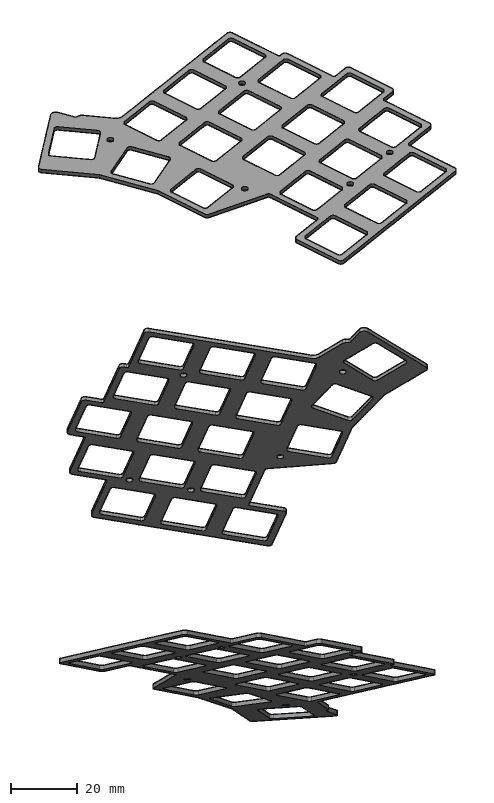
import cadquery as cq
import math

THICKNESS = 1.35

KEY_PITCH = 19.05
CUTOUT_SIZE = 14.0
CUTOUT_CORNER_RADIUS = 1.0
COLUMN_OFFSETS = [0.0, 2.5, 9.0, 3.0, -9.0]
ROWS = [-1, 0, 1]
LAST_COLUMN = len(COLUMN_OFFSETS) - 1

INNER_THUMB = (30.84, -35.62, 0.0)
MIDDLE_THUMB = (9.68, -38.38, 15.0)
OUTER_THUMB = (-12.46, -42.45, 30.0)

RIM = 2.025
LAST_COLUMN_RIM = 2.1
HALF_FRAME = CUTOUT_SIZE / 2 + RIM
OUTER_THUMB_HALF_LENGTH = HALF_FRAME + KEY_PITCH / 4
OUTLINE_CORNER_RADIUS = 1.15
INSIDE_CORNER_RADIUS = 0.5
THUMB_BEND_RADIUS = 1.3
SHOULDER_JOINT_RADIUS = 2.5
THUMB_CORNER_RADIUS = 1.63

SHOULDER_FOOT = (-19.75, -32.5)
SHOULDER_HEIGHT = 1.75
SHOULDER_ANGLE = 75.0

SCREW_HOLE_DIAMETER = 2.0
SCREW_HOLES = [(9.21, 11.11), (64.36, 12.70), (64.36, -6.39), (41.04, -27.74), (-5.06, -34.44)]


def key_center(column, row):
    return column * KEY_PITCH, COLUMN_OFFSETS[column] + row * KEY_PITCH


def column_left(column):
    return column * KEY_PITCH - HALF_FRAME


def column_right(column):
    return column * KEY_PITCH + HALF_FRAME


def column_top(column):
    return key_center(column, max(ROWS))[1] + HALF_FRAME


def column_bottom(column):
    return key_center(column, min(ROWS))[1] - HALF_FRAME


def direction(angle):
    return math.cos(math.radians(angle)), math.sin(math.radians(angle))


def step(point, angle, distance):
    """Point reached by moving a distance along an angle in degrees."""
    dx, dy = direction(angle)
    return point[0] + distance * dx, point[1] + distance * dy


def crossing(point_a, angle_a, point_b, angle_b):
    """Crossing of two lines, each given by a point and an angle in degrees."""
    ax, ay = direction(angle_a)
    bx, by = direction(angle_b)
    gap_x = point_b[0] - point_a[0]
    gap_y = point_b[1] - point_a[1]
    distance = (gap_x * by - gap_y * bx) / (ax * by - ay * bx)
    return step(point_a, angle_a, distance)


def outline_corners():
    """Corners of the plate, clockwise from the top left, each with its rounding radius."""
    inner_turn = INNER_THUMB[2]
    middle_turn = MIDDLE_THUMB[2]
    outer_turn = OUTER_THUMB[2]
    below_inner = step(INNER_THUMB, inner_turn - 90, HALF_FRAME)
    below_middle = step(MIDDLE_THUMB, middle_turn - 90, HALF_FRAME)
    below_outer = step(OUTER_THUMB, outer_turn - 90, OUTER_THUMB_HALF_LENGTH)
    left_of_outer = step(OUTER_THUMB, outer_turn + 180, HALF_FRAME)
    shoulder_top = step(SHOULDER_FOOT, SHOULDER_ANGLE, SHOULDER_HEIGHT)
    first_left = (column_left(0), 0)
    plate_right = column_right(LAST_COLUMN) - RIM + LAST_COLUMN_RIM

    return [
        ((column_left(0), column_top(0)), OUTLINE_CORNER_RADIUS),
        ((column_left(1), column_top(0)), INSIDE_CORNER_RADIUS),
        ((column_left(1), column_top(1)), OUTLINE_CORNER_RADIUS),
        ((column_left(2), column_top(1)), INSIDE_CORNER_RADIUS),
        ((column_left(2), column_top(2)), OUTLINE_CORNER_RADIUS),
        ((column_right(2), column_top(2)), OUTLINE_CORNER_RADIUS),
        ((column_right(2), column_top(3)), INSIDE_CORNER_RADIUS),
        ((column_right(3), column_top(3)), OUTLINE_CORNER_RADIUS),
        ((column_right(3), column_top(LAST_COLUMN)), INSIDE_CORNER_RADIUS),
        ((plate_right, column_top(LAST_COLUMN)), OUTLINE_CORNER_RADIUS),
        ((plate_right, column_bottom(LAST_COLUMN)), OUTLINE_CORNER_RADIUS),
        ((column_left(LAST_COLUMN), column_bottom(LAST_COLUMN)), OUTLINE_CORNER_RADIUS),
        ((column_left(LAST_COLUMN), column_bottom(3)), INSIDE_CORNER_RADIUS),
        ((column_left(3), column_bottom(3)), INSIDE_CORNER_RADIUS),
        (step(below_inner, inner_turn, HALF_FRAME), OUTLINE_CORNER_RADIUS),
        (crossing(below_inner, inner_turn, below_middle, middle_turn), THUMB_BEND_RADIUS),
        (crossing(below_middle, middle_turn, below_outer, outer_turn), THUMB_BEND_RADIUS),
        (crossing(below_outer, outer_turn, left_of_outer, outer_turn + 90), OUTLINE_CORNER_RADIUS),
        (crossing(left_of_outer, outer_turn + 90, SHOULDER_FOOT, middle_turn), THUMB_CORNER_RADIUS),
        (SHOULDER_FOOT, INSIDE_CORNER_RADIUS),
        (shoulder_top, OUTLINE_CORNER_RADIUS),
        (crossing(shoulder_top, outer_turn, first_left, 90), SHOULDER_JOINT_RADIUS),
    ]


def make_plate():
    corners = outline_corners()
    plate = cq.Workplane("XY").polyline([point for point, _ in corners]).close().extrude(THICKNESS)
    for (x, y), radius in corners:
        edge = cq.selectors.NearestToPointSelector((x, y, THICKNESS / 2))
        plate = plate.edges("|Z").edges(edge).fillet(radius)
    return plate


def key_cutout(x, y, turn):
    return (
        cq.Workplane("XY")
        .rect(CUTOUT_SIZE, CUTOUT_SIZE)
        .extrude(THICKNESS)
        .edges("|Z")
        .fillet(CUTOUT_CORNER_RADIUS)
        .rotate((0, 0, 0), (0, 0, 1), turn)
        .translate((x, y, 0))
    )


def cut_keys(plate):
    for column in range(len(COLUMN_OFFSETS)):
        for row in ROWS:
            x, y = key_center(column, row)
            plate = plate.cut(key_cutout(x, y, 0))
    for x, y, turn in (INNER_THUMB, MIDDLE_THUMB, OUTER_THUMB):
        plate = plate.cut(key_cutout(x, y, turn))
    return plate


def cut_screw_holes(plate):
    holes = cq.Workplane("XY").pushPoints(SCREW_HOLES).circle(SCREW_HOLE_DIAMETER / 2).extrude(THICKNESS)
    return plate.cut(holes)


result = cut_screw_holes(cut_keys(make_plate()))